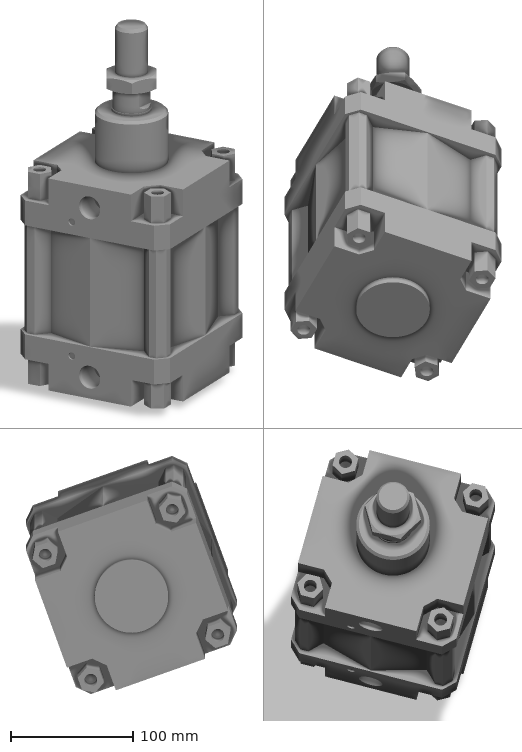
import cadquery as cq
import math

TOTAL_HEIGHT = 310.0
WIDTH = 140.0
SPIGOT_HEIGHT = 6.2
COVER_HEIGHT = 45.0
BARREL_LENGTH = 95.2
BOSS_HEIGHT = 44.5

BOTTOM_COVER_Z = SPIGOT_HEIGHT
BARREL_Z = BOTTOM_COVER_Z + COVER_HEIGHT
TOP_COVER_Z = BARREL_Z + BARREL_LENGTH
BOSS_Z = TOP_COVER_Z + COVER_HEIGHT
BOSS_TOP_Z = BOSS_Z + BOSS_HEIGHT

COVER_CHAMFER = 9.5
POCKET_SIDE = 31.3
POCKET_CHAMFER = 9.3
POCKET_DEPTH = 23.2
BOSS_DIAMETER = 60.0
BOSS_CHAMFER = 2.2

PORT_DIAMETER = 19.8
PORT_HEIGHT = 26.5
PORT_DEPTH = 24.8
SCREW_HOLE_DIAMETER = 6.2
SCREW_HOLE_X = -16.7
SCREW_HOLE_HEIGHT = 11.0
SCREW_HOLE_DEPTH = 1.5

TIE_NUT_OFFSET = 55.2
TIE_NUT_FLATS = 19.0
TIE_HOLE_DIAMETER = 10.5
TIE_HOLE_DEPTH = 15.5
DRILL_TIP_ANGLE = 118.0

BARREL_RIDGE = 69.0
POST_FACE = 66.5
POST_CHAMFER = 6.2
POST_FACE_WIDTH = 6.8
POST_STEP = 10.0

ROD_DIAMETER = 31.3
ROD_SEAT_DEPTH = 31.0
STUD_DIAMETER = 27.0
STUD_CHAMFER_RADIAL = 2.0
STUD_CHAMFER_HEIGHT = 2.8
COLLAR_DIAMETER = 33.0
COLLAR_HEIGHT = 2.0
FLAT_SPACING = 27.0
FLAT_BOTTOM_Z = BOSS_TOP_Z + 6.5
FLAT_TURN = -7.0

NUT_FLATS = 41.0
NUT_HEIGHT = 12.0
NUT_TOP_DROP = 41.2
NUT_CHAMFER_ANGLE = 25.0
NUT_TOP_DIAMETER = 40.0
NUT_BOTTOM_DIAMETER = NUT_FLATS
NUT_TOP_Z = TOTAL_HEIGHT - NUT_TOP_DROP
NUT_Z = NUT_TOP_Z - NUT_HEIGHT


def hex_prism(flats, height):
    """Hexagonal prism on the XY plane with two corners on the X axis."""
    return cq.Workplane("XY").polygon(6, flats / math.cos(math.pi / 6)).extrude(height)


def corner_pocket():
    """Cutter for the pocket at the -X, -Y corner, from z = 0 upward."""
    return (
        cq.Workplane("XY")
        .rect(2 * POCKET_SIDE, 2 * POCKET_SIDE)
        .extrude(POCKET_DEPTH)
        .edges("|Z")
        .chamfer(POCKET_CHAMFER)
        .translate((-WIDTH / 2, -WIDTH / 2, 0))
    )


def tie_nut():
    """Hexagonal tie nut with a drilled, cone-ended hole opening at its top."""
    radius = TIE_HOLE_DIAMETER / 2
    tip = radius / math.tan(math.radians(DRILL_TIP_ANGLE / 2))
    drill = (
        cq.Workplane("XZ")
        .polyline([
            (0, POCKET_DEPTH),
            (radius, POCKET_DEPTH),
            (radius, POCKET_DEPTH - TIE_HOLE_DEPTH),
            (0, POCKET_DEPTH - TIE_HOLE_DEPTH - tip),
        ])
        .close()
        .revolve(360, (0, 0, 0), (0, 1, 0))
    )
    nut = hex_prism(TIE_NUT_FLATS, POCKET_DEPTH).cut(drill)
    return nut.translate((-TIE_NUT_OFFSET, -TIE_NUT_OFFSET, 0))


def make_cover():
    """Cover with its barrel face at z = 0 and its pockets and tie nuts on the upper face."""
    cover = (
        cq.Workplane("XY")
        .rect(WIDTH, WIDTH)
        .extrude(COVER_HEIGHT)
        .edges("|Z")
        .chamfer(COVER_CHAMFER)
    )
    floor = (0, 0, COVER_HEIGHT - POCKET_DEPTH)
    pocket = corner_pocket().translate(floor)
    nut = tie_nut().translate(floor)
    for corner in range(4):
        turn = ((0, 0, 0), (0, 0, 1), 90 * corner)
        cover = cover.cut(pocket.rotate(*turn)).union(nut.rotate(*turn))
    return cover


def side_hole(x, z, diameter, depth):
    """Cutter for a blind hole entering the -Y face."""
    return (
        cq.Workplane("XZ", origin=(x, -WIDTH / 2, z))
        .circle(diameter / 2)
        .extrude(-depth)
    )


def make_barrel():
    """Barrel with four corner posts and a shallow ridge along each side."""
    post_edge = POST_FACE - POST_CHAMFER
    step_top = post_edge - POST_FACE_WIDTH
    step_foot = step_top - POST_STEP
    side_floor = POST_FACE - POST_STEP
    side = [
        (-post_edge, -POST_FACE),
        (-step_top, -POST_FACE),
        (-step_foot, -side_floor),
        (0, -BARREL_RIDGE),
        (step_foot, -side_floor),
        (step_top, -POST_FACE),
        (post_edge, -POST_FACE),
    ]
    outline = []
    for _ in range(4):
        outline += side
        side = [(-y, x) for x, y in side]
    return (
        cq.Workplane("XY")
        .workplane(offset=BARREL_Z)
        .polyline(outline)
        .close()
        .extrude(BARREL_LENGTH)
    )


def make_housing(rod):
    """Barrel, both covers, boss and spigot as one solid, with a seat for the rod."""
    cover = make_cover()
    top_cover = cover.translate((0, 0, TOP_COVER_Z))
    bottom_cover = cover.mirror("XY").translate((0, 0, BARREL_Z))
    boss = (
        cq.Workplane("XY")
        .workplane(offset=BOSS_Z)
        .circle(BOSS_DIAMETER / 2)
        .extrude(BOSS_HEIGHT)
        .faces(">Z")
        .edges()
        .chamfer(BOSS_CHAMFER)
    )
    spigot = cq.Workplane("XY").circle(BOSS_DIAMETER / 2).extrude(SPIGOT_HEIGHT)
    housing = make_barrel().union(top_cover).union(bottom_cover).union(boss).union(spigot)

    for barrel_end, direction in ((TOP_COVER_Z, 1), (BARREL_Z, -1)):
        port_z = barrel_end + direction * PORT_HEIGHT
        screw_z = barrel_end + direction * SCREW_HOLE_HEIGHT
        housing = housing.cut(side_hole(0, port_z, PORT_DIAMETER, PORT_DEPTH))
        housing = housing.cut(
            side_hole(SCREW_HOLE_X, screw_z, SCREW_HOLE_DIAMETER, SCREW_HOLE_DEPTH)
        )
    return housing.cut(rod)


def make_rod():
    """Stepped rod with a collar on the boss, two wrench flats with sloped ends and a chamfered stud."""
    rod_radius = ROD_DIAMETER / 2
    stud_radius = STUD_DIAMETER / 2
    collar_radius = COLLAR_DIAMETER / 2
    seat_z = BOSS_TOP_Z - ROD_SEAT_DEPTH
    collar_top_z = BOSS_TOP_Z + COLLAR_HEIGHT
    rod = (
        cq.Workplane("XZ")
        .polyline([
            (0, seat_z),
            (rod_radius, seat_z),
            (rod_radius, BOSS_TOP_Z),
            (collar_radius, BOSS_TOP_Z),
            (collar_radius, collar_top_z),
            (rod_radius, collar_top_z),
            (rod_radius, NUT_Z),
            (stud_radius, NUT_Z),
            (stud_radius, TOTAL_HEIGHT - STUD_CHAMFER_HEIGHT),
            (stud_radius - STUD_CHAMFER_RADIAL, TOTAL_HEIGHT),
            (0, TOTAL_HEIGHT),
        ])
        .close()
        .revolve(360, (0, 0, 0), (0, 1, 0))
    )
    flat_x = FLAT_SPACING / 2
    flat_cut = (
        cq.Workplane("XZ")
        .polyline([
            (flat_x, NUT_Z),
            (flat_x, FLAT_BOTTOM_Z),
            (rod_radius, FLAT_BOTTOM_Z - (rod_radius - flat_x)),
            (collar_radius, FLAT_BOTTOM_Z - (rod_radius - flat_x)),
            (collar_radius, NUT_Z),
        ])
        .close()
        .extrude(rod_radius, both=True)
    )
    for turn in (FLAT_TURN, FLAT_TURN + 180):
        rod = rod.cut(flat_cut.rotate((0, 0, 0), (0, 0, 1), turn))
    return rod


def make_lock_nut(rod):
    """Hexagonal nut on the stud, its corners chamfered at both ends."""
    top_radius = NUT_TOP_DIAMETER / 2
    bottom_radius = NUT_BOTTOM_DIAMETER / 2
    corner_radius = NUT_FLATS / 2 / math.cos(math.pi / 6)
    slope = math.tan(math.radians(NUT_CHAMFER_ANGLE))
    envelope = (
        cq.Workplane("XZ")
        .polyline([
            (0, 0),
            (bottom_radius, 0),
            (corner_radius, (corner_radius - bottom_radius) * slope),
            (corner_radius, NUT_HEIGHT - (corner_radius - top_radius) * slope),
            (top_radius, NUT_HEIGHT),
            (0, NUT_HEIGHT),
        ])
        .close()
        .revolve(360, (0, 0, 0), (0, 1, 0))
    )
    nut = hex_prism(NUT_FLATS, NUT_HEIGHT).intersect(envelope)
    return nut.translate((0, 0, NUT_Z)).cut(rod)


rod = make_rod()
housing = make_housing(rod)
lock_nut = make_lock_nut(rod)

result = cq.Compound.makeCompound([housing.val(), rod.val(), lock_nut.val()])